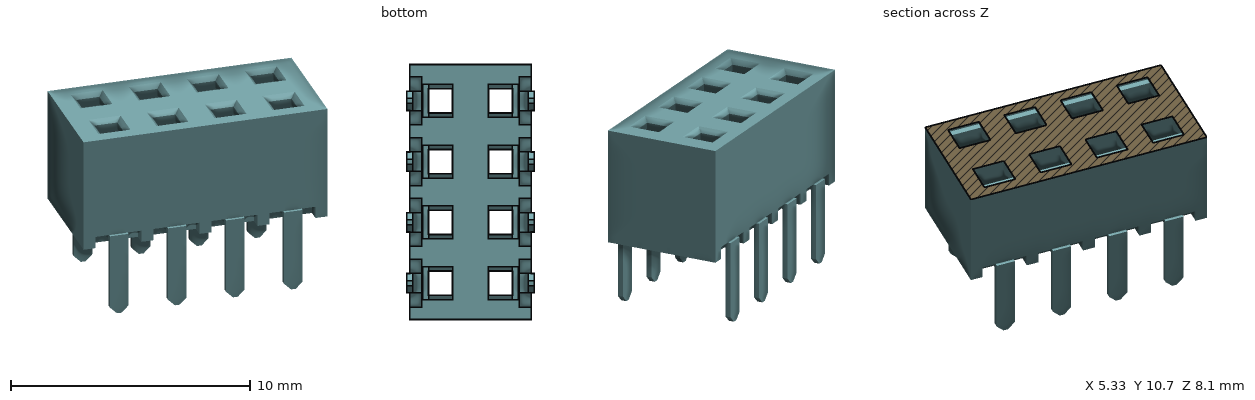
import cadquery as cq

length = 10.66
overall_width = 5.33
overall_height = 8.1
body_width = 5.07
body_height = 5.0

pitch = 2.54
rows = 4

mouth_size = 1.4
opening_size = 1.0
funnel_depth = 0.2
lip_height = 0.3

cavity_width = 1.38
cavity_inner_relief = 0.02

strip_thickness = 0.25
blade_overlap = 0.02
blade_drop = 0.21
pin_width = 0.81
tip_taper = 0.3

notch_width = 2.0
notch_height = 0.52
notch_depth = 0.5

socket_x = pitch / 2
cavity_top = body_height - funnel_depth - lip_height
blade_top = cavity_top - blade_drop
blade_inner_x = socket_x + opening_size / 2 - blade_overlap
cavity_outer_x = blade_inner_x + strip_thickness
cavity_inner_x = socket_x - opening_size / 2 - cavity_inner_relief
pin_outer_x = overall_width / 2
pin_inner_x = pin_outer_x - strip_thickness
pin_bottom = body_height - overall_height
arm_bottom = notch_height - strip_thickness
row_positions = [(row - (rows - 1) / 2) * pitch for row in range(rows)]


def block(x_min, x_max, width, z_min, z_max):
    """Box centred on Y = 0 between the given X and Z limits."""
    return (
        cq.Workplane("XY", origin=((x_min + x_max) / 2, 0, z_min))
        .rect(x_max - x_min, width)
        .extrude(z_max - z_min)
    )


def socket_cut():
    """Funnel, straight opening, wider cavity and side notch of one +X socket."""
    funnel = (
        cq.Workplane("XY", origin=(socket_x, 0, body_height))
        .rect(mouth_size, mouth_size)
        .workplane(offset=-funnel_depth)
        .rect(opening_size, opening_size)
        .loft(ruled=True)
    )
    opening = block(
        socket_x - opening_size / 2,
        socket_x + opening_size / 2,
        opening_size,
        0,
        body_height - funnel_depth,
    )
    cavity = block(cavity_inner_x, cavity_outer_x, cavity_width, 0, cavity_top)
    notch = block(body_width / 2 - notch_depth, body_width / 2, notch_width, 0, notch_height)
    return funnel.union(opening).union(cavity).union(notch)


def contact():
    """Blade, arm and tapered pin of one +X socket."""
    half_width = pin_width / 2
    half_tip = half_width - tip_taper
    taper_top = pin_bottom + tip_taper
    pin = (
        cq.Workplane("YZ", origin=(pin_inner_x, 0, 0))
        .polyline([
            (-half_width, notch_height),
            (-half_width, taper_top),
            (-half_tip, pin_bottom),
            (half_tip, pin_bottom),
            (half_width, taper_top),
            (half_width, notch_height),
        ])
        .close()
        .extrude(strip_thickness)
    )
    blade = block(blade_inner_x, cavity_outer_x, cavity_width, arm_bottom, blade_top)
    arm = block(blade_inner_x, pin_outer_x, pin_width, arm_bottom, notch_height)
    return blade.union(arm).union(pin)


def in_every_row(shape, angle):
    """Copies of a +X shape turned about Z and placed in each row."""
    turned = shape.rotate((0, 0, 0), (0, 0, 1), angle)
    return [turned.translate((0, y, 0)) for y in row_positions]


result = block(-body_width / 2, body_width / 2, length, 0, body_height)
for side_angle in (0, 180):
    for cut in in_every_row(socket_cut(), side_angle):
        result = result.cut(cut)
    for strip in in_every_row(contact(), side_angle):
        result = result.union(strip)